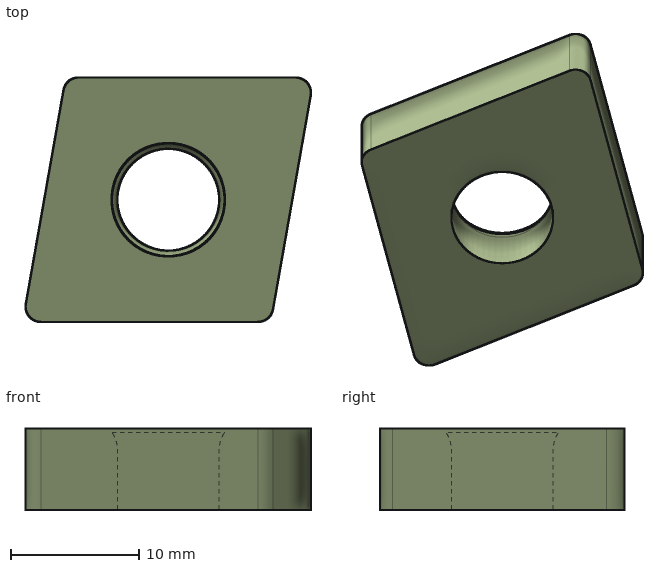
import cadquery as cq
import math

length = 22.25
thickness = 6.35
acute_angle = math.radians(80)
corner_radius = 1.2

bore_radius = 3.95
mouth_radius = 4.43
lip_radius = 4.38
lip_depth = 0.31
mouth_depth = 1.73

reach_per_half_width = 1 / math.sin(acute_angle) + 1 / math.tan(acute_angle)
half_width = corner_radius + (length / 2 - corner_radius) / reach_per_half_width
half_side = half_width / math.sin(acute_angle)
lean = half_width / math.tan(acute_angle)
corners = [
    (-half_side - lean, -half_width),
    (half_side - lean, -half_width),
    (half_side + lean, half_width),
    (-half_side + lean, half_width),
]


def make_body():
    plate = cq.Workplane("XY").polyline(corners).close().extrude(thickness)
    return plate.edges("|Z").fillet(corner_radius)


def make_hole():
    """Revolved hole whose mouth flares tangentially out of the bore."""
    lip_z = thickness - lip_depth
    throat_z = thickness - mouth_depth
    return (
        cq.Workplane("XZ")
        .lineTo(bore_radius, 0)
        .lineTo(bore_radius, throat_z)
        .tangentArcPoint((lip_radius, lip_z), relative=False)
        .lineTo(mouth_radius, thickness)
        .lineTo(0, thickness)
        .close()
        .revolve(360, (0, 0, 0), (0, 1, 0))
    )


result = make_body().cut(make_hole())